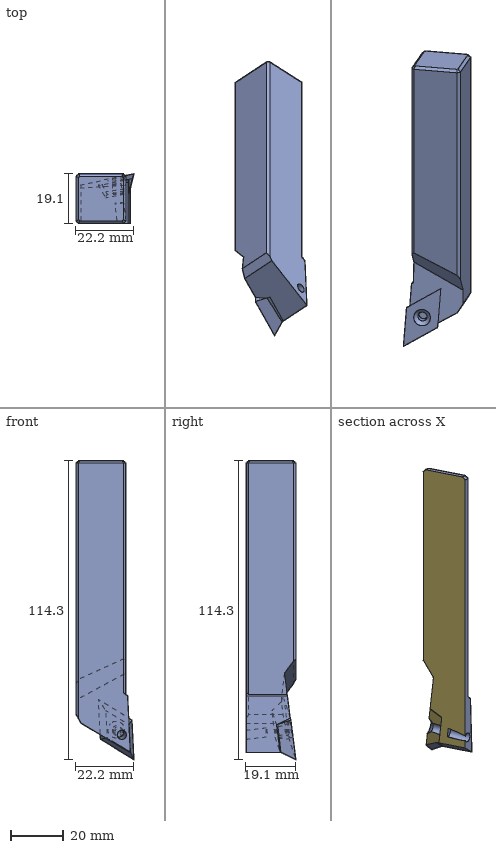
import cadquery as cq
import math

total_length = 114.3
shank_size = 19.1
edge_chamfer = 1.0

heel_height = 17.4
heel_run = 2.0
heel_drop = 3.4
nose_x = 20.8
nose_z = 2.7
shoulder_x = 19.8
shoulder_z = 24.5
shoulder_rise = 1.3

tip_x = 22.2
rake_slope_x = 0.13
rake_slope_z = 0.12

wall_start = (0, 18.0, 28.8)
wall_normal = (0.34, 1.0, -0.75)

insert_angle = 55.0
inscribed_radius = 6.3
insert_thickness = 5.5
relief_angle = 20.0
edge_lean = 0.05
bore_radius = 1.7
countersink_radius = 3.2
countersink_depth = 1.7

screw_hole_radius = 1.7
screw_hole_depth = 8.0

HALF_SPACE = 342.9

rake_normal = cq.Vector(-rake_slope_x, 1, rake_slope_z)
right_edge = cq.Vector(-edge_lean, -rake_slope_x * edge_lean - rake_slope_z, 1)
cutting_tip = (tip_x, shank_size, 0)
insert_plane = cq.Plane(cutting_tip, xDir=right_edge, normal=-rake_normal)

edge_length = 2 * inscribed_radius / math.sin(math.radians(insert_angle))
corner_x = edge_length * math.cos(math.radians(insert_angle))
corner_y = edge_length * math.sin(math.radians(insert_angle))
insert_center = ((edge_length + corner_x) / 2, corner_y / 2)


def half_space(origin, normal):
    """Large block that fills the side of a plane its normal points to."""
    plane = cq.Plane(origin, normal=normal)
    return cq.Workplane(plane).rect(HALF_SPACE, HALF_SPACE).extrude(HALF_SPACE)


def front_prism(points):
    """Outline in X and Z extruded from the front face over the shank depth."""
    return cq.Workplane("XZ").polyline(points).close().extrude(-shank_size)


def make_insert_blank():
    """Rhombic plate whose flanks taper inwards below the rake face."""
    return (
        cq.Workplane(insert_plane)
        .polyline([
            (0, 0),
            (edge_length, 0),
            (edge_length + corner_x, corner_y),
            (corner_x, corner_y),
        ])
        .close()
        .extrude(insert_thickness, taper=relief_angle)
    )


def make_insert():
    """Insert plate with a countersunk bore along its axis."""
    bore = (
        cq.Workplane(insert_plane)
        .center(*insert_center)
        .circle(bore_radius)
        .extrude(insert_thickness)
    )
    countersink = cq.Workplane(cq.Solid.makeCone(
        countersink_radius,
        bore_radius,
        countersink_depth,
        pnt=insert_plane.toWorldCoords(insert_center),
        dir=insert_plane.zDir,
    ))
    return make_insert_blank().cut(bore).cut(countersink)


def make_shank():
    """Chamfered square bar with the steep heel and the slanted lower end."""
    heel_z = heel_height - heel_drop
    end_slope = (nose_z - heel_z) / (nose_x - heel_run)
    end_z = heel_z + end_slope * (shank_size - heel_run)
    bar = front_prism([
        (0, total_length),
        (0, heel_height),
        (heel_run, heel_z),
        (shank_size, end_z),
        (shank_size, total_length),
    ])
    bar = bar.edges("|Z").chamfer(edge_chamfer).faces(">Z").chamfer(edge_chamfer)

    root_x = shank_size - edge_chamfer
    root_z = heel_z + end_slope * (root_x - heel_run)
    head = front_prism([
        (root_x, root_z),
        (nose_x, nose_z),
        (shoulder_x, shoulder_z),
        (root_x, shoulder_z + shoulder_rise),
    ])
    return bar.union(head)


def make_gullet():
    """Open space above the rake face and below the sloped wall."""
    above_rake = half_space(cutting_tip, rake_normal)
    below_wall = half_space(wall_start, wall_normal)
    return above_rake.intersect(below_wall)


def make_screw_hole():
    """Cylinder along the insert axis, with its depth measured from the front face.

    It is twice the depth long, so that it runs clear out of the front face.
    """
    center = insert_plane.toWorldCoords(insert_center)
    axis = insert_plane.zDir
    entry = center - axis * (center.y / axis.y)
    bottom = entry - axis * screw_hole_depth
    hole_plane = cq.Plane(bottom, normal=axis)
    return cq.Workplane(hole_plane).circle(screw_hole_radius).extrude(2 * screw_hole_depth)


def make_holder():
    """Shank with the chip gullet, the insert pocket and the screw hole."""
    holder = make_shank().cut(make_gullet())
    return holder.cut(make_insert_blank()).cut(make_screw_hole())


holder = make_holder()
insert = make_insert()

result = cq.Compound.makeCompound([holder.solids().val(), insert.solids().val()])